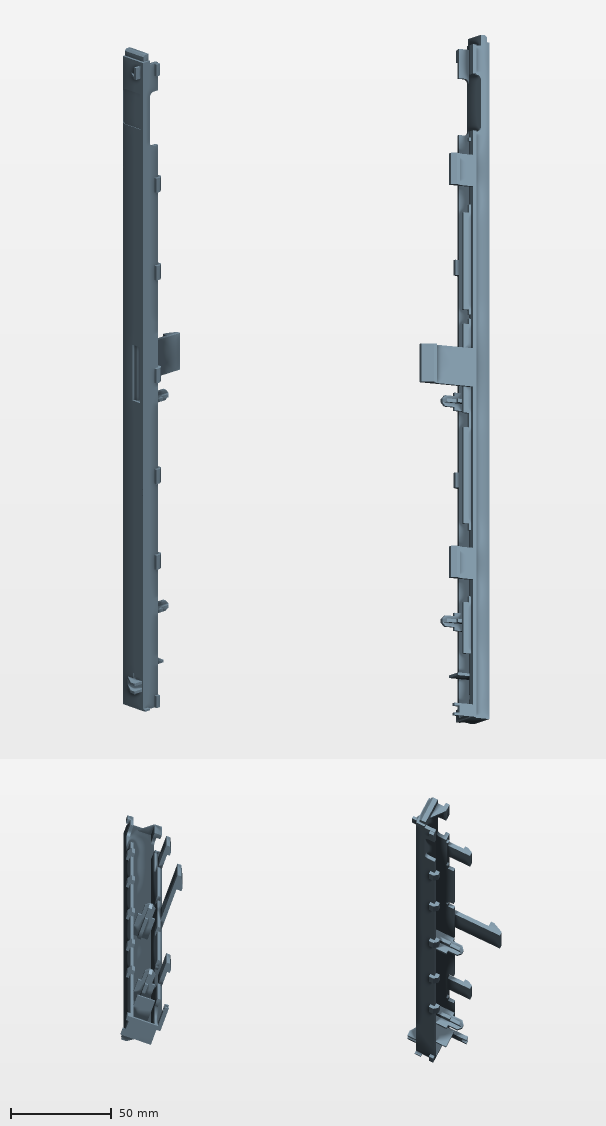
import cadquery as cq


LENGTH = 345.0
WIDTH = 14.5
DEPTH = 10.5
FRONT_WALL = 5.0
SIDE_WALL = 1.7
TOP_OF_SIDES = 339.5
TOP_OF_FRONT = 341.5

TONGUE_WIDTH = 13.5
TONGUE_FRONT = 1.5
TONGUE_CHAMFER = 1.0

NOTCH_BOTTOM = 296.0
NOTCH_TOP = 324.5
NOTCH_RADIUS = 2.5

FLANGE_THICKNESS = 2.0
FLANGE_WIDTH = 2.0

SIDE_CLIP_HEIGHT = 16.0
SIDE_CLIP_BOTTOMS = (69.3, 267.5)
SIDE_CLIP_TIP = 22.8
SIDE_CLIP_BARB_LENGTH = 4.5
SIDE_CLIP_BARB = 1.5
MIDDLE_CLIP_HEIGHT = 19.3
MIDDLE_CLIP_BOTTOM = 166.5
MIDDLE_CLIP_TIP = 39.3
MIDDLE_CLIP_BARB_LENGTH = 7.2
MIDDLE_CLIP_BARB = 2.6
BARB_LAND = 1.7

FOOT_HEIGHT = 6.2
FOOT_TIP = 20.7
FORK_DEPTH = 2.8
FORK_PRONG = 1.5

TAB_TOP = 14.5
TABS = ((32.0, 58.0), (97.5, 146.2), (153.5, 198.3), (205.5, 254.5))
SHOULDER_TOP = 11.5
SHOULDERS = ((32.0, 61.0), (94.5, 151.5), (151.5, 201.0), (203.0, 258.7), (290.8, 292.5))

PIN_X = 8.0
PIN_HEIGHTS = (49.0, 160.0)
COLUMN_WIDTH = 9.0
COLUMN_TOP = 16.0
PIN_WIDTH = 5.5
FIN_THICKNESS = 1.7
PIN_SHOULDER = 21.0
PIN_TIP = 22.8
PIN_TIP_WIDTH = 1.7

RIB_BOTTOM = 21.5
RIB_THICKNESS = 1.5
RIB_LEFT = 3.5

SNAP_HEIGHT = 7.5
SNAP_BOTTOMS = (72.8, 118.0, 171.0, 225.2, 271.5)
SNAP_BACK = 12.5
SNAP_FRONT = 8.0
SNAP_PROJECTION = 1.55
END_SNAP_BOTTOM = 0.0
END_SNAP_TOP = 333.0
END_SNAP_HEIGHT = 6.2
LIP_DEPTH = 3.5
LIP_HEIGHT = 1.0

LABEL_LEFT = 0.5
LABEL_RIGHT = 13.5
LABEL_BOTTOM = 306.0
LABEL_TOP = 324.5
LABEL_DEPTH = 0.5
LABEL_RADIUS = 1.5

GROOVE_LEFT = 7.0
GROOVE_RIGHT = 12.5
GROOVE_BOTTOM = 161.8
GROOVE_TOP = 191.0
GROOVE_DEPTH = 3.5
STEP_DEPTH = 1.5
STEP_WIDTH = 2.0
GROOVE_LIP = 0.5

WINDOW_LEFT = 3.5
WINDOW_RIGHT = 13.8
WINDOW_BOTTOM = 10.0
WINDOW_TOP = 15.5
SLIT_LEFT = 7.2
SLIT_WIDTH = 2.0
SLIT_OVERHANG = 2.8
BLADE_THICKNESS = 1.5
BLADE_REACH = 5.2
BLADE_TIP = 2.8

HOOK_LEFT = 6.0
HOOK_RIGHT = 12.8
HOOK_BOTTOM = 333.0
HOOK_HEIGHT = 6.2
HOOK_REACH = 3.0
HOOK_THICKNESS = 1.5

GUSSET_LEG = 7.0


def block(x0, x1, y0, y1, z0, z1):
    """Box between two opposite corners."""
    return cq.Workplane("XY").box(x1 - x0, y1 - y0, z1 - z0, centered=False).translate((x0, y0, z0))


def plate(points, z0, height):
    """Outline in X and Y, raised along Z."""
    return cq.Workplane("XY").workplane(offset=z0).polyline(points).close().extrude(height)


def channel():
    shell = block(0, WIDTH, 0, DEPTH, 0, TOP_OF_SIDES)
    hollow = block(SIDE_WALL, WIDTH - SIDE_WALL, FRONT_WALL, DEPTH, SIDE_WALL, TOP_OF_SIDES)
    top_edge = block(0, WIDTH, 0, FRONT_WALL, TOP_OF_SIDES, TOP_OF_FRONT)
    tongue = block(0, TONGUE_WIDTH, TONGUE_FRONT, FRONT_WALL, TOP_OF_SIDES, LENGTH)
    tongue = tongue.faces(">Z").edges("<Y").chamfer(TONGUE_CHAMFER)
    gusset = plate(
        [
            (SIDE_WALL, FRONT_WALL),
            (SIDE_WALL + GUSSET_LEG, FRONT_WALL),
            (SIDE_WALL, DEPTH),
        ],
        TOP_OF_SIDES - SIDE_WALL,
        SIDE_WALL,
    )
    return shell.cut(hollow).union(top_edge).union(tongue).union(gusset)


def flange():
    return block(-FLANGE_THICKNESS, 0, DEPTH - FLANGE_WIDTH, DEPTH, FOOT_HEIGHT, TOP_OF_SIDES)


def notch():
    cutter = block(-FLANGE_THICKNESS, WIDTH, FRONT_WALL, DEPTH, NOTCH_BOTTOM, NOTCH_TOP)
    return cutter.edges("|X and <Y").fillet(NOTCH_RADIUS)


def clip(bottom, height, tip, barb_length, barb):
    """Flat spring arm along Y with an outward barb that ramps up from its tip."""
    outside = -FLANGE_THICKNESS
    outline = [
        (0, DEPTH - FLANGE_WIDTH),
        (0, tip),
        (outside, tip),
        (outside - barb, tip - barb_length + BARB_LAND),
        (outside - barb, tip - barb_length),
        (outside, tip - barb_length),
        (outside, DEPTH - FLANGE_WIDTH),
    ]
    return plate(outline, bottom, height)


def foot():
    arm = block(-FLANGE_THICKNESS, 0, DEPTH - FLANGE_WIDTH, FOOT_TIP, 0, FOOT_HEIGHT)
    gap = block(
        -FLANGE_THICKNESS, 0, FOOT_TIP - FORK_DEPTH, FOOT_TIP, FORK_PRONG, FOOT_HEIGHT - FORK_PRONG
    )
    return arm.cut(gap)


def pin(height):
    """Two crossed fins standing on the front wall, stepped in and pointed at the tip."""
    half_column = COLUMN_WIDTH / 2
    half_pin = PIN_WIDTH / 2
    half_tip = PIN_TIP_WIDTH / 2
    right_edge = [
        (half_column, FRONT_WALL),
        (half_column, COLUMN_TOP),
        (half_pin, COLUMN_TOP),
        (half_pin, PIN_SHOULDER),
        (half_tip, PIN_TIP),
    ]
    left_edge = [(-x, y) for x, y in reversed(right_edge)]
    fin = plate(right_edge + left_edge, -FIN_THICKNESS / 2, FIN_THICKNESS)
    cross = fin.union(fin.rotate((0, 0, 0), (0, 1, 0), 90))
    return cross.translate((PIN_X, 0, height))


def snap(bottom):
    """Small wedge on the right side that slopes down toward the open side."""
    outline = [
        (WIDTH, SNAP_FRONT),
        (WIDTH + SNAP_PROJECTION, SNAP_FRONT),
        (WIDTH + SNAP_PROJECTION, DEPTH),
        (WIDTH, SNAP_BACK),
        (WIDTH - SIDE_WALL, SNAP_BACK),
        (WIDTH - SIDE_WALL, SNAP_FRONT),
    ]
    return plate(outline, bottom, SNAP_HEIGHT)


def label_recess():
    cutter = block(LABEL_LEFT, LABEL_RIGHT, 0, LABEL_DEPTH, LABEL_BOTTOM, LABEL_TOP)
    return cutter.edges("|Y").fillet(LABEL_RADIUS)


def finger_groove():
    outline = [
        (GROOVE_LEFT, 0),
        (GROOVE_LEFT, STEP_DEPTH),
        (GROOVE_LEFT + STEP_WIDTH, STEP_DEPTH),
        (GROOVE_LEFT + STEP_WIDTH, GROOVE_DEPTH),
        (GROOVE_RIGHT, GROOVE_LIP),
        (GROOVE_RIGHT, 0),
    ]
    return plate(outline, GROOVE_BOTTOM, GROOVE_TOP - GROOVE_BOTTOM)


def window():
    opening = block(WINDOW_LEFT, WINDOW_RIGHT, 0, FRONT_WALL, WINDOW_BOTTOM, WINDOW_TOP)
    slit = block(
        SLIT_LEFT,
        SLIT_LEFT + SLIT_WIDTH,
        0,
        FRONT_WALL,
        WINDOW_BOTTOM - SLIT_OVERHANG,
        WINDOW_TOP + SLIT_OVERHANG,
    )
    return opening.union(slit)


def blade(bottom):
    """Guide blade along one edge of the window, slanting forward to its tip."""
    outline = [
        (WINDOW_LEFT, FRONT_WALL),
        (WINDOW_LEFT, 0),
        (WINDOW_RIGHT - BLADE_TIP, -BLADE_REACH),
        (WINDOW_RIGHT, -BLADE_REACH),
        (WINDOW_RIGHT, FRONT_WALL),
    ]
    return plate(outline, bottom, BLADE_THICKNESS)


def hook():
    upright_left = HOOK_RIGHT - HOOK_THICKNESS
    shelf = plate(
        [(HOOK_LEFT, 0), (upright_left, -HOOK_REACH), (HOOK_RIGHT, -HOOK_REACH), (HOOK_RIGHT, 0)],
        HOOK_BOTTOM,
        HOOK_THICKNESS,
    )
    upright = block(upright_left, HOOK_RIGHT, -HOOK_REACH, 0, HOOK_BOTTOM, HOOK_BOTTOM + HOOK_HEIGHT)
    return shelf.union(upright)


body = channel().union(flange()).cut(notch())
body = body.cut(label_recess()).cut(finger_groove()).cut(window())

for clip_bottom in SIDE_CLIP_BOTTOMS:
    body = body.union(
        clip(clip_bottom, SIDE_CLIP_HEIGHT, SIDE_CLIP_TIP, SIDE_CLIP_BARB_LENGTH, SIDE_CLIP_BARB)
    )
body = body.union(
    clip(
        MIDDLE_CLIP_BOTTOM,
        MIDDLE_CLIP_HEIGHT,
        MIDDLE_CLIP_TIP,
        MIDDLE_CLIP_BARB_LENGTH,
        MIDDLE_CLIP_BARB,
    )
)
body = body.union(foot())
for rim_y, spans in ((TAB_TOP, TABS), (SHOULDER_TOP, SHOULDERS)):
    for span_bottom, span_top in spans:
        body = body.union(block(0, SIDE_WALL, FRONT_WALL, rim_y, span_bottom, span_top))

for pin_height in PIN_HEIGHTS:
    body = body.union(pin(pin_height))
body = body.union(
    block(RIB_LEFT, WIDTH - SIDE_WALL, FRONT_WALL, COLUMN_TOP, RIB_BOTTOM, RIB_BOTTOM + RIB_THICKNESS)
)

for snap_bottom in SNAP_BOTTOMS:
    body = body.union(snap(snap_bottom))
for end_snap in (END_SNAP_BOTTOM, END_SNAP_TOP):
    body = body.union(
        block(WIDTH, WIDTH + SNAP_PROJECTION, SNAP_FRONT, DEPTH, end_snap, end_snap + END_SNAP_HEIGHT)
    )
body = body.union(block(WIDTH, WIDTH + SNAP_PROJECTION, 0, LIP_DEPTH, 0, LIP_HEIGHT))

for blade_bottom in (WINDOW_BOTTOM, WINDOW_TOP - BLADE_THICKNESS):
    body = body.union(blade(blade_bottom))
result = body.union(hook())